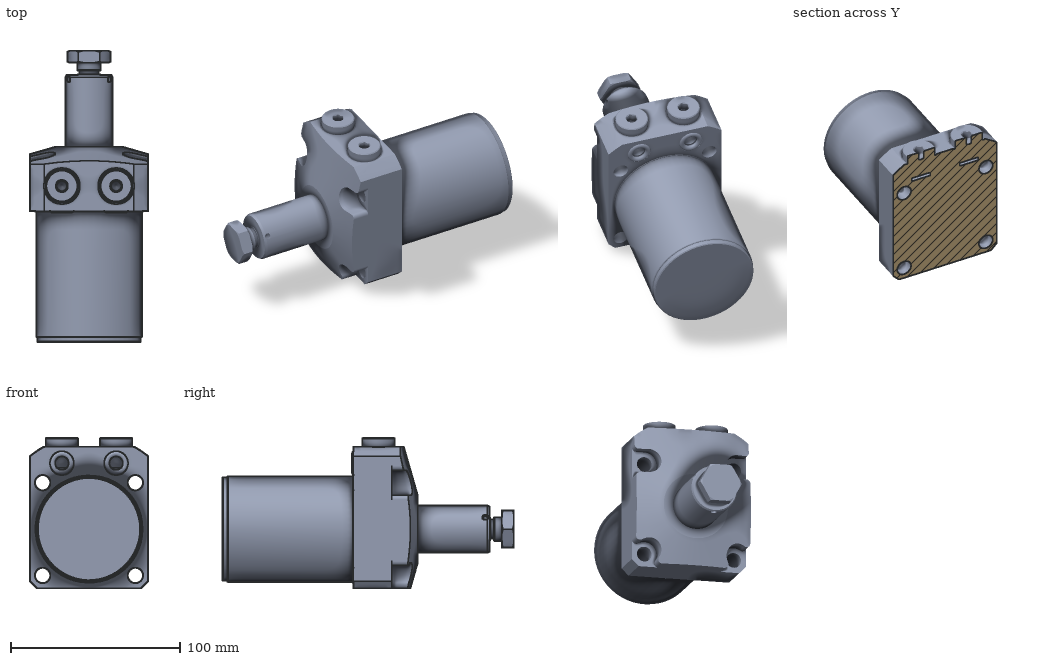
import cadquery as cq
import math


HALF_WIDTH = 35.0
TOP_Z = 48.8
BOTTOM_Z = -HALF_WIDTH
BOTTOM_CHAMFER = 4.1
CORNER_RADIUS = 55.5
FLANGE_HEIGHT = 38.1
CONE_FLAT_RADIUS = 19.7
CONE_ANGLE = 16.0

HOLE_OFFSET = 27.5
HOLE_RADIUS = 4.5
POCKET_FLOOR_Y = 22.8
POCKET_RADIUS = 7.5
POCKET_FLARE = 2.5

COLLAR_RADIUS = 31.7
COLLAR_LENGTH = 0.5
BARREL_RADIUS = 31.4
BARREL_LENGTH = 74.5
BARREL_CHAMFER = 0.3
CAP_RADIUS = 30.7
CAP_CHAMFER = 0.5
END_Y = -77.6

PLUNGER_RADIUS = 14.0
PLUNGER_TOP_Y = 80.5
PLUNGER_BEVEL_RADIAL = 0.7
PLUNGER_BEVEL_LENGTH = 1.4
SPANNER_HOLE_RADIUS = 1.7
SPANNER_HOLE_DEPTH = 1.7
SPANNER_HOLE_POINT = 1.0
SPANNER_HOLE_Y = 78.0
SPANNER_HOLE_ANGLES = (30, 150, 270)

OVERALL_LENGTH = 172.5
BOLT_TIP_Y = END_Y + OVERALL_LENGTH
HEAD_HEIGHT = 7.0
HEAD_ACROSS_FLATS = 22.0
HEAD_BEVEL_RADIAL = 1.2
HEAD_BEVEL_HEIGHT = 0.7
SHANK_RADIUS = 7.0
SHANK_END_Y = 83.5
SHANK_BEVEL = 0.5
NECK_RADIUS = 5.9
RIM_RADIUS = 6.5
RIM_HEIGHT = 0.5

PORT_X = 16.0
PLUG_Y = 14.8
PLUG_RADIUS = 9.7
PLUG_TOP_Z = 54.0
PLUG_CHAMFER = 0.5
SPOTFACE_RADIUS = 10.7
SPOTFACE_DEPTH = 0.5
PLUG_SHANK_RADIUS = 6.5
PLUG_SHANK_END_Z = 36.4
PLUG_BORE_END_Z = 34.5
SOCKET_ACROSS_FLATS = 6.0
SOCKET_DEPTH = 5.2
SOCKET_RIM_RADIUS = 3.6

PORT_Z = 39.0
RING_OUTER_RADIUS = 7.0
RING_INNER_RADIUS = 4.0
RING_PROJECTION = 0.9
RING_TUBE_RADIUS = (RING_OUTER_RADIUS - RING_INNER_RADIUS) / 2
RING_CENTRE_RADIUS = RING_OUTER_RADIUS - RING_TUBE_RADIUS
RING_CENTRE_Y = RING_TUBE_RADIUS - RING_PROJECTION
GROOVE_DEPTH = RING_CENTRE_Y + RING_TUBE_RADIUS

CUT_MARGIN = 8.6


def y_cylinder(radius, start_y, end_y, x=0.0, z=0.0):
    return cq.Workplane("XY").add(
        cq.Solid.makeCylinder(radius, end_y - start_y, cq.Vector(x, start_y, z), cq.Vector(0, 1, 0))
    )


def z_cylinder(radius, start_z, end_z, x, y):
    return cq.Workplane("XY", origin=(x, y, start_z)).circle(radius).extrude(end_z - start_z)


def revolve_about_y(profile):
    """Turn a closed outline of (radius, y) points around the Y axis."""
    return cq.Workplane("XY").polyline(profile).close().revolve(360, (0, 0, 0), (0, 1, 0))


def extrude_along_y(sketch, length):
    """Pull an XZ sketch in the +Y direction."""
    return sketch.extrude(-length)


def flange_block():
    side_z = math.sqrt(CORNER_RADIUS**2 - HALF_WIDTH**2)
    top_x = math.sqrt(CORNER_RADIUS**2 - TOP_Z**2)
    middle_angle = (math.atan2(side_z, HALF_WIDTH) + math.atan2(TOP_Z, top_x)) / 2
    arc_x = CORNER_RADIUS * math.cos(middle_angle)
    arc_z = CORNER_RADIUS * math.sin(middle_angle)
    chamfer_x = HALF_WIDTH - BOTTOM_CHAMFER
    chamfer_z = BOTTOM_Z + BOTTOM_CHAMFER
    outline = (
        cq.Workplane("XZ")
        .moveTo(-chamfer_x, BOTTOM_Z)
        .lineTo(chamfer_x, BOTTOM_Z)
        .lineTo(HALF_WIDTH, chamfer_z)
        .lineTo(HALF_WIDTH, side_z)
        .threePointArc((arc_x, arc_z), (top_x, TOP_Z))
        .lineTo(-top_x, TOP_Z)
        .threePointArc((-arc_x, arc_z), (-HALF_WIDTH, side_z))
        .lineTo(-HALF_WIDTH, chamfer_z)
        .close()
    )
    block = extrude_along_y(outline, FLANGE_HEIGHT)
    envelope_radius = CORNER_RADIUS + CUT_MARGIN
    cone_drop = (envelope_radius - CONE_FLAT_RADIUS) * math.tan(math.radians(CONE_ANGLE))
    envelope = revolve_about_y([
        (0, 0),
        (envelope_radius, 0),
        (envelope_radius, FLANGE_HEIGHT - cone_drop),
        (CONE_FLAT_RADIUS, FLANGE_HEIGHT),
        (0, FLANGE_HEIGHT),
    ])
    return block.intersect(envelope)


def upper_pocket():
    """Slot around the upper +X hole, open to the side face through rounded lips."""
    low_z = HOLE_OFFSET - POCKET_RADIUS
    high_z = HOLE_OFFSET + POCKET_RADIUS
    lip_x = HALF_WIDTH - POCKET_FLARE
    outside_x = HALF_WIDTH + CUT_MARGIN
    lip_bulge = POCKET_FLARE * math.sqrt(0.5)
    outline = (
        cq.Workplane("XZ", origin=(0, POCKET_FLOOR_Y, 0))
        .moveTo(HALF_WIDTH, high_z + POCKET_FLARE)
        .threePointArc(
            (lip_x + lip_bulge, high_z + POCKET_FLARE - lip_bulge),
            (lip_x, high_z),
        )
        .lineTo(HOLE_OFFSET, high_z)
        .threePointArc((HOLE_OFFSET - POCKET_RADIUS, HOLE_OFFSET), (HOLE_OFFSET, low_z))
        .lineTo(lip_x, low_z)
        .threePointArc(
            (lip_x + lip_bulge, low_z - POCKET_FLARE + lip_bulge),
            (HALF_WIDTH, low_z - POCKET_FLARE),
        )
        .lineTo(outside_x, low_z - POCKET_FLARE)
        .lineTo(outside_x, high_z + POCKET_FLARE)
        .close()
    )
    return extrude_along_y(outline, FLANGE_HEIGHT)


def lower_pocket():
    """Round pocket at the lower +X hole that takes away the block corner.

    Rounded lips lead from the pocket wall into the side face and the bottom face.
    Points are (outward, downward) distances from the hole; both lips are mirror images.
    """
    wall = HALF_WIDTH - HOLE_OFFSET
    outside = wall + CUT_MARGIN
    lip_out = wall - POCKET_FLARE
    lip_back = math.sqrt((POCKET_RADIUS + POCKET_FLARE) ** 2 - lip_out**2)
    tangent_ratio = POCKET_RADIUS / (POCKET_RADIUS + POCKET_FLARE)
    tangent = (lip_out * tangent_ratio, -lip_back * tangent_ratio)
    lip_angle = math.atan2(lip_back, -lip_out) / 2
    lip_middle = (
        lip_out + POCKET_FLARE * math.cos(lip_angle),
        -lip_back + POCKET_FLARE * math.sin(lip_angle),
    )
    deepest = -POCKET_RADIUS * math.sqrt(0.5)

    def place(out, down):
        return (HOLE_OFFSET + out, -HOLE_OFFSET - down)

    outline = (
        cq.Workplane("XZ", origin=(0, POCKET_FLOOR_Y, 0))
        .moveTo(*place(wall, -lip_back))
        .threePointArc(place(*lip_middle), place(*tangent))
        .threePointArc(place(deepest, deepest), place(*reversed(tangent)))
        .threePointArc(place(*reversed(lip_middle)), place(-lip_back, wall))
        .lineTo(*place(-lip_back, outside))
        .lineTo(*place(outside, outside))
        .lineTo(*place(outside, -lip_back))
        .close()
    )
    return extrude_along_y(outline, FLANGE_HEIGHT)


def drill_mounting_holes(block):
    for pocket in (upper_pocket(), lower_pocket()):
        block = block.cut(pocket).cut(pocket.mirror("YZ"))
    for x in (-HOLE_OFFSET, HOLE_OFFSET):
        for z in (-HOLE_OFFSET, HOLE_OFFSET):
            block = block.cut(y_cylinder(HOLE_RADIUS, 0, FLANGE_HEIGHT, x, z))
    return block


def drill_port(block, x):
    """Spotface and bore from the top, met by the O-ring groove and passage from the front."""
    spotface = z_cylinder(SPOTFACE_RADIUS, TOP_Z - SPOTFACE_DEPTH, TOP_Z, x, PLUG_Y)
    bore = z_cylinder(PLUG_SHANK_RADIUS, PLUG_BORE_END_Z, TOP_Z, x, PLUG_Y)
    groove = y_cylinder(RING_OUTER_RADIUS, 0, GROOVE_DEPTH, x, PORT_Z)
    passage = y_cylinder(RING_INNER_RADIUS, 0, PLUG_Y, x, PORT_Z)
    return block.cut(spotface).cut(bore).cut(groove).cut(passage)


def screw_plug(x):
    """Cylindrical plug head and shank with a hexagon socket."""
    head = z_cylinder(PLUG_RADIUS, TOP_Z - SPOTFACE_DEPTH, PLUG_TOP_Z, x, PLUG_Y)
    head = head.faces(">Z").edges().chamfer(PLUG_CHAMFER)
    shank = z_cylinder(PLUG_SHANK_RADIUS, PLUG_SHANK_END_Z, PLUG_TOP_Z - SOCKET_DEPTH, x, PLUG_Y)
    corner_diameter = SOCKET_ACROSS_FLATS / math.cos(math.pi / 6)
    socket = (
        cq.Workplane("XY", origin=(x, PLUG_Y, PLUG_TOP_Z))
        .transformed(rotate=(0, 0, 30))
        .polygon(6, corner_diameter)
        .extrude(-SOCKET_DEPTH)
    )
    pilot_radius = SOCKET_ACROSS_FLATS / 2
    drill_point = cq.Solid.makeCone(
        pilot_radius, 0, pilot_radius,
        cq.Vector(x, PLUG_Y, PLUG_TOP_Z - SOCKET_DEPTH), cq.Vector(0, 0, -1),
    )
    rim_chamfer = cq.Solid.makeCone(
        SOCKET_RIM_RADIUS, 0, SOCKET_RIM_RADIUS,
        cq.Vector(x, PLUG_Y, PLUG_TOP_Z), cq.Vector(0, 0, -1),
    )
    return head.union(shank).cut(socket).cut(drill_point).cut(rim_chamfer)


def barrel():
    barrel_end = -BARREL_LENGTH
    return revolve_about_y([
        (0, 0),
        (COLLAR_RADIUS, 0),
        (COLLAR_RADIUS, -COLLAR_LENGTH),
        (BARREL_RADIUS, -COLLAR_LENGTH),
        (BARREL_RADIUS, barrel_end + BARREL_CHAMFER),
        (BARREL_RADIUS - BARREL_CHAMFER, barrel_end),
        (CAP_RADIUS, barrel_end),
        (CAP_RADIUS, END_Y + CAP_CHAMFER),
        (CAP_RADIUS - CAP_CHAMFER, END_Y),
        (0, END_Y),
    ])


def plunger():
    rod = revolve_about_y([
        (0, FLANGE_HEIGHT),
        (PLUNGER_RADIUS, FLANGE_HEIGHT),
        (PLUNGER_RADIUS, PLUNGER_TOP_Y - PLUNGER_BEVEL_LENGTH),
        (PLUNGER_RADIUS - PLUNGER_BEVEL_RADIAL, PLUNGER_TOP_Y),
        (0, PLUNGER_TOP_Y),
    ])
    for angle in SPANNER_HOLE_ANGLES:
        direction = cq.Vector(math.cos(math.radians(angle)), 0, math.sin(math.radians(angle)))
        floor = direction * (PLUNGER_RADIUS - SPANNER_HOLE_DEPTH) + cq.Vector(0, SPANNER_HOLE_Y, 0)
        hole = cq.Solid.makeCylinder(SPANNER_HOLE_RADIUS, SPANNER_HOLE_DEPTH + CUT_MARGIN, floor, direction)
        drill_point = cq.Solid.makeCone(SPANNER_HOLE_RADIUS, 0, SPANNER_HOLE_POINT, floor, -direction)
        rod = rod.cut(hole).cut(drill_point)
    return rod


def contact_bolt():
    head_base = BOLT_TIP_Y - HEAD_HEIGHT
    shaft = revolve_about_y([
        (0, PLUNGER_TOP_Y),
        (RIM_RADIUS, PLUNGER_TOP_Y),
        (RIM_RADIUS, PLUNGER_TOP_Y + RIM_HEIGHT),
        (NECK_RADIUS, PLUNGER_TOP_Y + RIM_HEIGHT),
        (NECK_RADIUS, SHANK_END_Y - SHANK_BEVEL),
        (SHANK_RADIUS - SHANK_BEVEL, SHANK_END_Y - SHANK_BEVEL),
        (SHANK_RADIUS, SHANK_END_Y),
        (SHANK_RADIUS, head_base),
        (0, head_base),
    ])
    corner_radius = HEAD_ACROSS_FLATS / 2 / math.cos(math.pi / 6)
    hexagon = extrude_along_y(
        cq.Workplane("XZ", origin=(0, head_base, 0)).polygon(6, 2 * corner_radius),
        HEAD_HEIGHT,
    )
    face_radius = corner_radius - HEAD_BEVEL_RADIAL
    bevelled_disc = revolve_about_y([
        (0, head_base),
        (face_radius, head_base),
        (corner_radius, head_base + HEAD_BEVEL_HEIGHT),
        (corner_radius, BOLT_TIP_Y - HEAD_BEVEL_HEIGHT),
        (face_radius, BOLT_TIP_Y),
        (0, BOLT_TIP_Y),
    ])
    return shaft.union(hexagon.intersect(bevelled_disc))


def support_body():
    """Flange, barrel, plunger, contact bolt and screw plugs as one solid."""
    body = drill_mounting_holes(flange_block())
    body = body.union(barrel())
    for x in (-PORT_X, PORT_X):
        body = drill_port(body, x).union(screw_plug(x))
    return body.union(plunger()).union(contact_bolt())


def o_ring(x):
    """Ring seated in its groove, standing proud of the mounting face."""
    return cq.Solid.makeTorus(
        RING_CENTRE_RADIUS, RING_TUBE_RADIUS,
        cq.Vector(x, RING_CENTRE_Y, PORT_Z), cq.Vector(0, 1, 0),
    )


body = support_body()
o_rings = [o_ring(x) for x in (-PORT_X, PORT_X)]

result = cq.Compound.makeCompound([body.solids().val(), *o_rings])